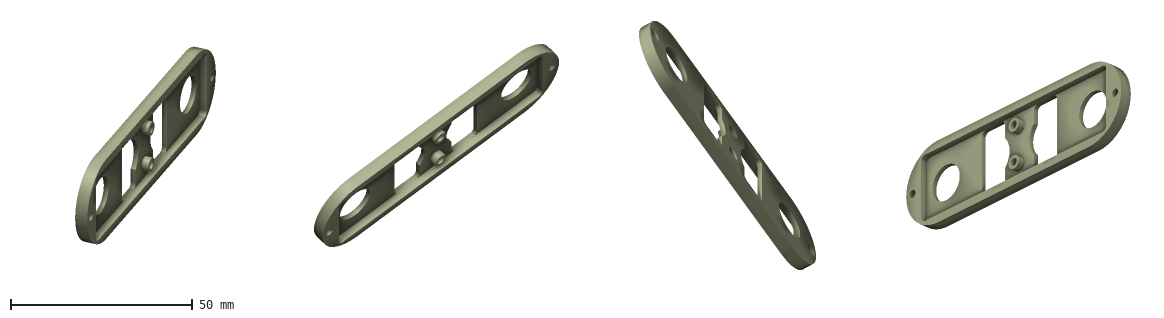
import cadquery as cq

thickness = 3.6
length = 86.6
height = 25.6

port_diameter = 11.0
port_offset = 29.5

screw_diameter = 2.4
end_sink_diameter = 4.0
center_sink_diameter = 4.2
end_screw_offset = 40.8
center_screw_offset = 5.8

window_inner = 5.9
window_outer = 15.15
window_height = 20.6
window_corner_radius = 1.5
bulge_reach = 4.0
bulge_radius = 6.75

web_thickness = 1.5
pocket_length = 74.5
pocket_height = window_height
pocket_corner_radius = window_corner_radius

boss_diameter = 4.2

window_width = window_outer - window_inner
window_center = (window_inner + window_outer) / 2
bulge_center = bulge_reach + bulge_radius

port_points = [(-port_offset, 0), (port_offset, 0)]
end_screw_points = [(-end_screw_offset, 0), (end_screw_offset, 0)]
center_screw_points = [(0, -center_screw_offset), (0, center_screw_offset)]


def face_plane():
    """Workplane on the -X face: local x is -Y, local y is +Z, normal is -X."""
    return cq.Workplane(cq.Plane(origin=(-thickness / 2, 0, 0), xDir=(0, -1, 0), normal=(-1, 0, 0)))


def window(side):
    """Through cutter for the window on one side of the middle."""
    opening = (
        face_plane()
        .center(side * window_center, 0)
        .rect(window_width, window_height)
        .extrude(-thickness)
        .edges("|X")
        .fillet(window_corner_radius)
    )
    bulge = face_plane().center(side * bulge_center, 0).circle(bulge_radius).extrude(-thickness)
    inner_half = face_plane().center(side * window_center / 2, 0).rect(window_center, height).extrude(-thickness)
    return opening.union(bulge.intersect(inner_half))


def screw_holes(points, sink_diameter):
    """Cutters for countersunk through holes at the given face points."""
    sink_depth = (sink_diameter - screw_diameter) / 2
    shafts = face_plane().pushPoints(points).circle(screw_diameter / 2).extrude(-thickness)
    for across, z in points:
        cone = cq.Solid.makeCone(
            sink_diameter / 2,
            screw_diameter / 2,
            sink_depth,
            cq.Vector(-thickness / 2, -across, z),
            cq.Vector(1, 0, 0),
        )
        shafts = shafts.union(cq.Workplane(cone))
    return shafts


def back_pocket():
    """Cutter for the pocket behind the web, leaving the screw bosses standing."""
    pocket_floor = face_plane().workplane(offset=-web_thickness)
    pocket_depth = thickness - web_thickness
    pocket = (
        pocket_floor
        .rect(pocket_length, pocket_height)
        .extrude(-pocket_depth)
        .edges("|X")
        .fillet(pocket_corner_radius)
    )
    bosses = pocket_floor.pushPoints(center_screw_points).circle(boss_diameter / 2).extrude(-pocket_depth)
    return pocket.cut(bosses)


plate = face_plane().slot2D(length, height).extrude(-thickness)
ports = face_plane().pushPoints(port_points).circle(port_diameter / 2).extrude(-thickness)

result = plate.cut(back_pocket()).cut(ports)
for side in (-1, 1):
    result = result.cut(window(side))
result = result.cut(screw_holes(end_screw_points, end_sink_diameter))
result = result.cut(screw_holes(center_screw_points, center_sink_diameter))